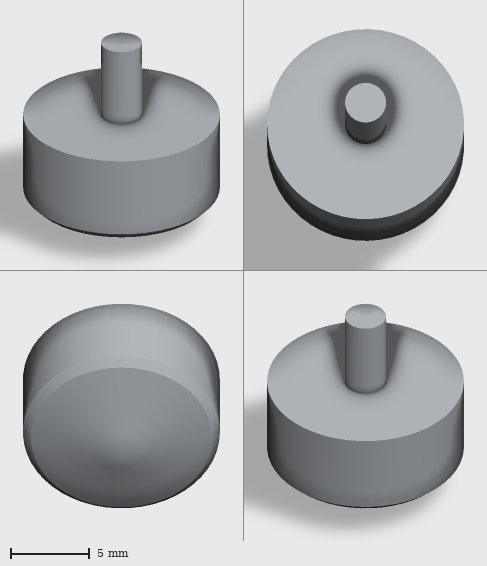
import cadquery as cq

total_height = 12.7
body_diameter = 12.5
stem_diameter = 2.6
stem_length = 5.2
chamfer_size = 0.5
cone_height = 1.75

body_radius = body_diameter / 2
stem_radius = stem_diameter / 2
cone_radius = body_radius - chamfer_size
chamfer_top = cone_height + chamfer_size
body_top = total_height - stem_length

half_section = (
    cq.Workplane("XZ")
    .moveTo(0, 0)
    .lineTo(cone_radius, cone_height)
    .lineTo(body_radius, chamfer_top)
    .lineTo(body_radius, body_top)
    .lineTo(stem_radius, body_top)
    .lineTo(stem_radius, total_height)
    .lineTo(0, total_height)
    .close()
)

result = half_section.revolve(360, (0, 0, 0), (0, 1, 0))